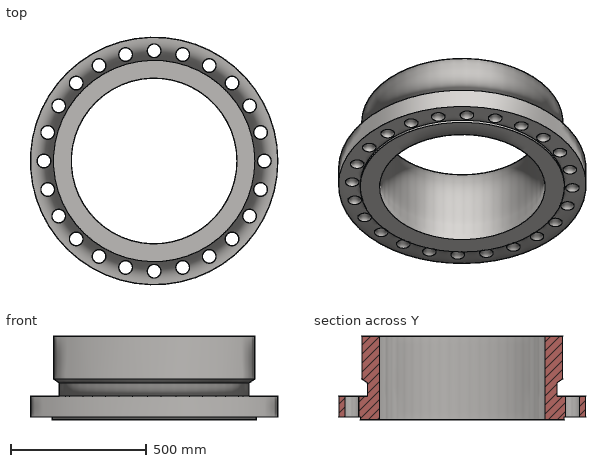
import cadquery as cq

flange_diameter = 914.0
total_height = 310.0

bore_diameter = 611.0
neck_diameter = 702.0
hub_diameter = 743.0
raised_face_diameter = 754.0

raised_face_height = 10.0
flange_thickness = 78.0
neck_height = 49.0
bevel_height = 14.0

bolt_count = 24
bolt_circle_diameter = 814.0
bolt_hole_diameter = 49.0

bore_radius = bore_diameter / 2
flange_radius = flange_diameter / 2
raised_face_radius = raised_face_diameter / 2
neck_radius = neck_diameter / 2
hub_radius = hub_diameter / 2

flange_top = raised_face_height + flange_thickness
neck_top = flange_top + neck_height
hub_bottom = neck_top + bevel_height


def make_body():
    """Revolve the half section (radius, height) about the Z axis."""
    section = [
        (bore_radius, 0),
        (raised_face_radius, 0),
        (raised_face_radius, raised_face_height),
        (flange_radius, raised_face_height),
        (flange_radius, flange_top),
        (neck_radius, flange_top),
        (neck_radius, neck_top),
        (hub_radius, hub_bottom),
        (hub_radius, total_height),
        (bore_radius, total_height),
    ]
    return cq.Workplane("XZ").polyline(section).close().revolve(360, (0, 0, 0), (0, 1, 0))


def make_bolt_holes():
    """Cylinders through the flange, evenly spaced with the first one on +X."""
    return (
        cq.Workplane("XY")
        .polarArray(bolt_circle_diameter / 2, 0, 360, bolt_count)
        .circle(bolt_hole_diameter / 2)
        .extrude(flange_top)
    )


result = make_body().cut(make_bolt_holes())